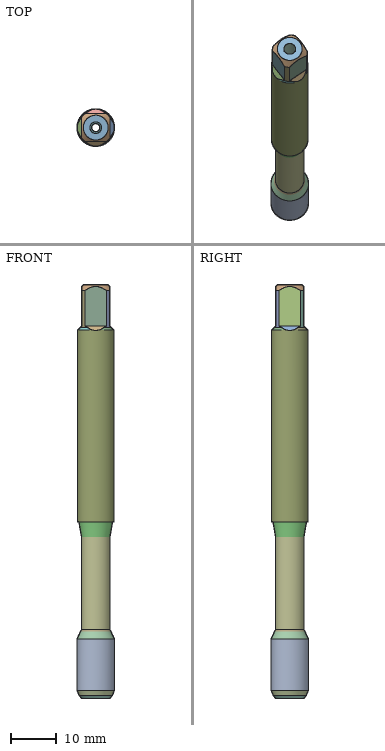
import cadquery as cq

TOTAL_LENGTH = 90
TIP_HEIGHT = 0.6
LEAD_HEIGHT = 1.8
HEAD_SHOULDER_Z = 13.0
HEAD_CONE_TOP_Z = 14.5
HEAD_TOP_Z = 15.0
TAPER_BOTTOM_Z = 35.1
TAPER_TOP_Z = 38.4
SHANK_TOP_Z = 80.1
SQUARE_BOTTOM_Z = 81.0
DRIVE_CONE_HEIGHT = 1.3

HEAD_DIAMETER = 8.2
TIP_DIAMETER = 6.1
LEAD_START_DIAMETER = 7.2
HEAD_CONE_TOP_DIAMETER = 6.75
NECK_DIAMETER = 6.2
TAPER_TOP_DIAMETER = 7.4
SHANK_DIAMETER = 8.0
DRIVE_DIAMETER = 7.65
DRIVE_END_DIAMETER = 5.4
SHANK_BORE_DIAMETER = 2.5
HEAD_BORE_DIAMETER = 1.7

SQUARE_WIDTH = 6.1
SHANK_EDGE_HEIGHT = 0.5


def turned(profile, bore_diameter):
    """Revolve (diameter, z) pairs, listed upward, around Z, leaving a central bore."""
    bore_radius = bore_diameter / 2
    outline = [(diameter / 2, z) for diameter, z in profile]
    bottom = (bore_radius, profile[0][1])
    top = (bore_radius, profile[-1][1])
    return (
        cq.Workplane("XZ")
        .polyline([bottom, *outline, top])
        .close()
        .revolve(360, (0, 0, 0), (0, 1, 0))
    )


def make_cutting_head():
    """Cutting head with a blunt tip, a tapered lead, a conical shoulder and a short collar."""
    profile = [
        (TIP_DIAMETER, 0),
        (LEAD_START_DIAMETER, TIP_HEIGHT),
        (HEAD_DIAMETER, LEAD_HEIGHT),
        (HEAD_DIAMETER, HEAD_SHOULDER_Z),
        (HEAD_CONE_TOP_DIAMETER, HEAD_CONE_TOP_Z),
        (NECK_DIAMETER, HEAD_TOP_Z),
    ]
    return turned(profile, HEAD_BORE_DIAMETER)


def make_square_cutter():
    """Waste around the driving square, with flats that run out at 45 degrees."""
    runout_height = (SHANK_DIAMETER - SQUARE_WIDTH) / 2
    blank = (
        cq.Workplane("XY", origin=(0, 0, SQUARE_BOTTOM_Z - runout_height))
        .rect(2 * SHANK_DIAMETER, 2 * SHANK_DIAMETER)
        .extrude(TOTAL_LENGTH)
    )
    foot = (
        cq.Workplane("XY", origin=(0, 0, SQUARE_BOTTOM_Z - runout_height))
        .rect(SHANK_DIAMETER, SHANK_DIAMETER)
        .workplane(offset=runout_height)
        .rect(SQUARE_WIDTH, SQUARE_WIDTH)
        .loft(ruled=True)
    )
    square = (
        cq.Workplane("XY", origin=(0, 0, SQUARE_BOTTOM_Z))
        .rect(SQUARE_WIDTH, SQUARE_WIDTH)
        .extrude(TOTAL_LENGTH)
    )
    return blank.cut(foot).cut(square)


def make_shank():
    """Neck, taper and shank, ending in a square drive with a conical end."""
    profile = [
        (NECK_DIAMETER, HEAD_TOP_Z),
        (NECK_DIAMETER, TAPER_BOTTOM_Z),
        (TAPER_TOP_DIAMETER, TAPER_TOP_Z),
        (SHANK_DIAMETER, TAPER_TOP_Z),
        (SHANK_DIAMETER, SHANK_TOP_Z),
        (DRIVE_DIAMETER, SHANK_TOP_Z + SHANK_EDGE_HEIGHT),
        (DRIVE_DIAMETER, TOTAL_LENGTH - DRIVE_CONE_HEIGHT),
        (DRIVE_END_DIAMETER, TOTAL_LENGTH),
    ]
    return turned(profile, SHANK_BORE_DIAMETER).cut(make_square_cutter())


cutting_head = make_cutting_head()
shank = make_shank()
result = cq.Compound.makeCompound([cutting_head.val(), shank.val()])